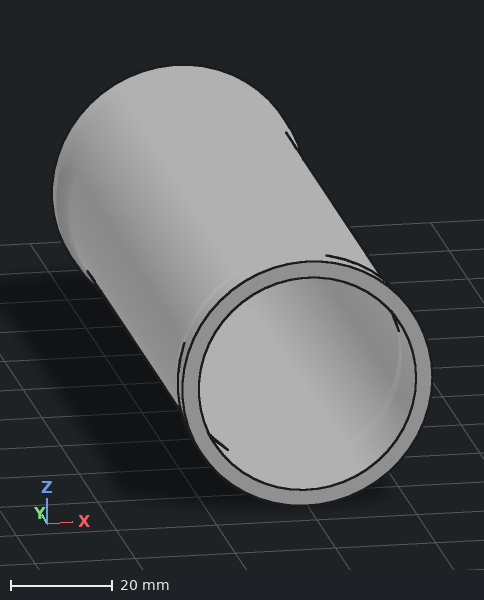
import cadquery as cq

length = 140.0
collar_diameter = 50.0
tube_diameter = 47.6
mouth_diameter = 43.4
bore_diameter = 44.5
collar_length = 5.0
flare_length = 7.7
mouth_length = 15.0
bore_taper_length = 6.0

half_length = length / 2
collar_radius = collar_diameter / 2
tube_radius = tube_diameter / 2
mouth_radius = mouth_diameter / 2
bore_radius = bore_diameter / 2
collar_start = half_length - collar_length
flare_start = collar_start - flare_length
mouth_start = half_length - mouth_length
bore_end = mouth_start - bore_taper_length

flare_rise = collar_radius - tube_radius
flare_radius = (flare_length**2 + flare_rise**2) / (2 * flare_rise)

wall_section = (
    cq.Workplane("XY")
    .moveTo(mouth_radius, -half_length)
    .lineTo(collar_radius, -half_length)
    .lineTo(collar_radius, -collar_start)
    .radiusArc((tube_radius, -flare_start), flare_radius)
    .lineTo(tube_radius, flare_start)
    .radiusArc((collar_radius, collar_start), flare_radius)
    .lineTo(collar_radius, half_length)
    .lineTo(mouth_radius, half_length)
    .lineTo(mouth_radius, mouth_start)
    .lineTo(bore_radius, bore_end)
    .lineTo(bore_radius, -bore_end)
    .lineTo(mouth_radius, -mouth_start)
    .close()
)

result = wall_section.revolve(360, (0, 0, 0), (0, 1, 0))